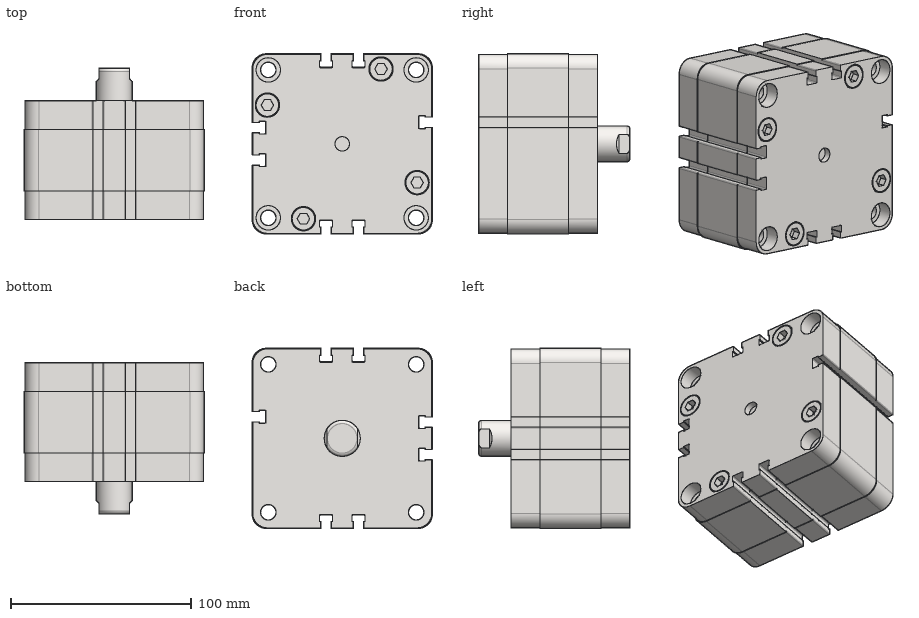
import cadquery as cq
import math

BARREL_SIDE = 100.0
CAP_STEP = 0.4
CAP_SIDE = BARREL_SIDE - 2 * CAP_STEP
CORNER_RADIUS = 8.0
BARREL_LENGTH = 34.0
CAP_LENGTH = 16.0
BODY_LENGTH = BARREL_LENGTH + 2 * CAP_LENGTH

SLOT_NECK_WIDTH = 5.6
SLOT_HEAD_WIDTH = 7.0
SLOT_NECK_DEPTH = 4.0
SLOT_DEPTH = 7.4
SLOT_EDGE_RADIUS = 0.4
PAIRED_SLOT_OFFSET = 9.0
SINGLE_SLOT_OFFSET = 12.0

TOP, RIGHT, BOTTOM, LEFT = 0, 90, 180, 270
PAIRED_SLOT_TURNS = (TOP, BOTTOM, LEFT)
SINGLE_SLOT_TURN = RIGHT
CAP_ROUNDED_TURNS = (TOP, RIGHT, BOTTOM, LEFT)
BARREL_ROUNDED_TURNS = (RIGHT, LEFT)

MOUNT_OFFSET = 41.0
MOUNT_DIAMETER = 8.4
MOUNT_BORE_DIAMETER = 13.5
MOUNT_BORE_DEPTH = 8.6

SCREW_FAR_OFFSET = 41.5
SCREW_NEAR_OFFSET = 21.5
SCREW_HEAD_DIAMETER = 12.5
SCREW_RECESS_DIAMETER = 13.5
SCREW_RECESS_DEPTH = 8.0
SOCKET_SIDES = 6
SOCKET_ACROSS_FLATS = 6.0
SOCKET_DEPTH = 4.5

CENTRE_HOLE_DIAMETER = 8.0
CENTRE_HOLE_DEPTH = 4.0

ROD_DIAMETER = 20.0
ROD_LENGTH = 18.0
ROD_END_FILLET = 1.8
FLAT_WIDTH = 17.0
FLAT_LENGTH = 6.0
FLAT_RUNOUT = (ROD_DIAMETER - FLAT_WIDTH) / 2

ROD_TIP_Y = BODY_LENGTH + ROD_LENGTH
ROD_ROOT = 1.0


def front_plane(y):
    """Workplane normal to Y whose local x is +X, local y is +Z and extrusions go towards +Y."""
    return cq.Workplane(cq.Plane(origin=(0, y, 0), xDir=(1, 0, 0), normal=(0, -1, 0)))


def cylinders(points, diameter, y_start, length):
    """Cylinders along +Y at the given (x, z) points."""
    return front_plane(y_start).pushPoints(points).circle(diameter / 2).extrude(-length)


def block(side, y_start, length):
    """Square block along +Y with rounded corners."""
    return front_plane(y_start).rect(side, side).extrude(-length).edges("|Y").fillet(CORNER_RADIUS)


def bar(width, x, z_low, z_high, y_start, length):
    """Rectangular bar along +Y, centred at x and spanning z_low to z_high."""
    middle_z = (z_low + z_high) / 2
    return front_plane(y_start).center(x, middle_z).rect(width, z_high - z_low).extrude(-length)


def t_slot(side, offset, y_start, length, round_mouth):
    """T-slot cutter opening through the top of a block, centred at x = offset."""
    face_z = side / 2
    shoulder_z = BARREL_SIDE / 2 - SLOT_NECK_DEPTH
    floor_z = face_z - SLOT_DEPTH
    cutter = bar(SLOT_NECK_WIDTH, offset, shoulder_z, face_z, y_start, length)
    head = bar(SLOT_HEAD_WIDTH, offset, floor_z, shoulder_z, y_start, length)
    cutter = cutter.union(head.faces("<Z").edges("|Y").fillet(SLOT_EDGE_RADIUS))
    if round_mouth:
        cutter = cutter.union(mouth_flare(face_z, offset, y_start, length))
    return cutter


def mouth_flare(face_z, offset, y_start, length):
    """Widening at the slot mouth that leaves its two outer edges rounded."""
    r = SLOT_EDGE_RADIUS
    neck_x = SLOT_NECK_WIDTH / 2
    mid_arc = r * (1 - math.sqrt(0.5))
    return (
        front_plane(y_start)
        .center(offset, face_z)
        .moveTo(-neck_x - r, 0)
        .threePointArc((-neck_x - mid_arc, -mid_arc), (-neck_x, -r))
        .lineTo(neck_x, -r)
        .threePointArc((neck_x + mid_arc, -mid_arc), (neck_x + r, 0))
        .close()
        .extrude(-length)
    )


def body_section(side, y_start, length, rounded_turns):
    """One block of the body with its T-slots on all four sides.

    Slots are made on the top side and turned about Y.
    Those whose turn is in rounded_turns get rounded mouths.
    """
    section = block(side, y_start, length)
    slots = [(turn, sign * PAIRED_SLOT_OFFSET) for turn in PAIRED_SLOT_TURNS for sign in (-1, 1)]
    slots.append((SINGLE_SLOT_TURN, -SINGLE_SLOT_OFFSET))
    for turn, offset in slots:
        cutter = t_slot(side, offset, y_start, length, turn in rounded_turns)
        section = section.cut(cutter.rotate((0, 0, 0), (0, 1, 0), turn))
    return section


def rod():
    """Piston rod standing on the rear cap, with a rounded end and wrench flats on its +X and -X sides."""
    radius = ROD_DIAMETER / 2
    shaft = cylinders([(0, 0)], ROD_DIAMETER, BODY_LENGTH - ROD_ROOT, ROD_LENGTH + ROD_ROOT)
    shaft = shaft.faces(">Y").edges().fillet(ROD_END_FILLET)
    flat_x = FLAT_WIDTH / 2
    flat_y = ROD_TIP_Y - FLAT_LENGTH
    flat = (
        cq.Workplane("XY")
        .moveTo(flat_x, ROD_TIP_Y)
        .lineTo(flat_x, flat_y)
        .lineTo(radius, flat_y - FLAT_RUNOUT)
        .lineTo(radius, ROD_TIP_Y)
        .close()
        .extrude(radius, both=True)
    )
    return shaft.cut(flat).cut(flat.mirror("YZ"))


body = body_section(CAP_SIDE, 0, CAP_LENGTH, CAP_ROUNDED_TURNS)
body = body.union(body_section(BARREL_SIDE, CAP_LENGTH, BARREL_LENGTH, BARREL_ROUNDED_TURNS))
body = body.union(body_section(CAP_SIDE, CAP_LENGTH + BARREL_LENGTH, CAP_LENGTH, CAP_ROUNDED_TURNS))

mount_points = [(sx * MOUNT_OFFSET, sz * MOUNT_OFFSET) for sx in (-1, 1) for sz in (-1, 1)]
body = body.cut(cylinders(mount_points, MOUNT_DIAMETER, 0, BODY_LENGTH))
body = body.cut(cylinders(mount_points, MOUNT_BORE_DIAMETER, 0, MOUNT_BORE_DEPTH))

screw_points = [
    (SCREW_NEAR_OFFSET, SCREW_FAR_OFFSET),
    (SCREW_FAR_OFFSET, -SCREW_NEAR_OFFSET),
    (-SCREW_NEAR_OFFSET, -SCREW_FAR_OFFSET),
    (-SCREW_FAR_OFFSET, SCREW_NEAR_OFFSET),
]
recesses = cylinders(screw_points, SCREW_RECESS_DIAMETER, 0, SCREW_RECESS_DEPTH)
heads = cylinders(screw_points, SCREW_HEAD_DIAMETER, 0, SCREW_RECESS_DEPTH)
body = body.cut(recesses.cut(heads))
socket_corner_diameter = SOCKET_ACROSS_FLATS / math.cos(math.pi / SOCKET_SIDES)
socket_outlines = front_plane(0).pushPoints(screw_points).polygon(SOCKET_SIDES, socket_corner_diameter)
body = body.cut(socket_outlines.extrude(-SOCKET_DEPTH))

body = body.cut(cylinders([(0, 0)], CENTRE_HOLE_DIAMETER, 0, CENTRE_HOLE_DEPTH))

result = body.union(rod())